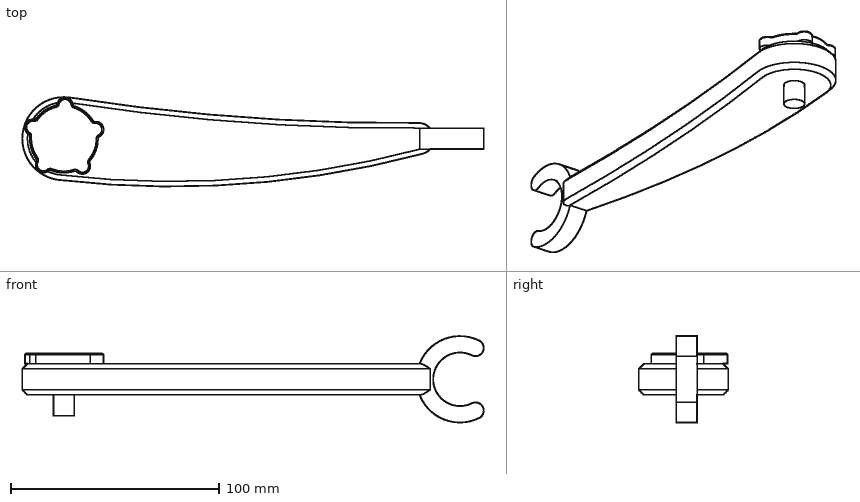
import cadquery as cq
import math


arm_thickness = 15.0
arm_chamfer = 2.5
round_end_radius = 20.0
tip_radius = 7.6
tip_centre_x = 170.0
front_low_point = (55.0, -23.02)
back_mid_point = (86.0, 10.3)
front_angle_at_round_end = -96.9
back_angle_at_round_end = 83.0
front_angle_at_tip = -77.0
back_angle_at_tip = 89.0

hook_x = 190.0
hook_outer_radius = 20.79
hook_inner_radius = 12.8
hook_width = 10.0
hook_reach = 11.45

pin_diameter = 10.0
pin_length = 10.0

knob_height = 5.0
knob_radius = 16.4
knob_chamfer = 0.8
lobe_count = 5
lobe_radius = 3.8
lobe_distance = 15.9
first_lobe_angle = 88.0
lobe_corner_radius = 1.0

arm_top = arm_thickness / 2


def polar(radius, angle, centre_x=0.0):
    """Point at a radius and an angle in degrees about a centre on the first axis."""
    turn = math.radians(angle)
    return (centre_x + radius * math.cos(turn), radius * math.sin(turn))


def make_arm():
    front_start = polar(round_end_radius, front_angle_at_round_end)
    back_start = polar(round_end_radius, back_angle_at_round_end)
    front_tip = polar(tip_radius, front_angle_at_tip, tip_centre_x)
    back_tip = polar(tip_radius, back_angle_at_tip, tip_centre_x)
    blade = (
        cq.Workplane("XY", origin=(0, 0, -arm_top))
        .moveTo(*front_start)
        .threePointArc(front_low_point, front_tip)
        .threePointArc((tip_centre_x + tip_radius, 0), back_tip)
        .threePointArc(back_mid_point, back_start)
        .threePointArc((-round_end_radius, 0), front_start)
        .close()
        .extrude(arm_thickness)
    )
    blade = blade.faces("<Z or >Z").edges().chamfer(arm_chamfer)
    opening = (
        cq.Workplane("XZ", origin=(hook_x, 0, 0))
        .circle(hook_inner_radius)
        .extrude(tip_radius, both=True)
    )
    return blade.cut(opening)


def make_hook():
    """C-shaped ring, open toward +X, with rounded ends."""
    end_radius = (hook_outer_radius - hook_inner_radius) / 2
    mid_radius = hook_inner_radius + end_radius
    end_angle = math.degrees(math.acos((hook_reach - end_radius) / mid_radius))
    end_x, end_z = polar(mid_radius, end_angle)
    outer_x, outer_z = polar(hook_outer_radius, end_angle)
    inner_x, inner_z = polar(hook_inner_radius, end_angle)
    cap_x, cap_z = polar(end_radius, end_angle - 90)
    return (
        cq.Workplane("XZ", origin=(hook_x, 0, 0))
        .moveTo(outer_x, outer_z)
        .threePointArc((-hook_outer_radius, 0), (outer_x, -outer_z))
        .threePointArc((end_x + cap_x, -end_z - cap_z), (inner_x, -inner_z))
        .threePointArc((-hook_inner_radius, 0), (inner_x, inner_z))
        .threePointArc((end_x + cap_x, end_z + cap_z), (outer_x, outer_z))
        .close()
        .extrude(hook_width / 2, both=True)
    )


def make_knob():
    crossing = (knob_radius**2 + lobe_distance**2 - lobe_radius**2) / (2 * knob_radius * lobe_distance)
    half_angle = math.degrees(math.acos(crossing))
    pitch = 360 / lobe_count
    outline = cq.Workplane("XY", origin=(0, 0, arm_top))
    outline = outline.moveTo(*polar(knob_radius, first_lobe_angle - half_angle))
    for index in range(lobe_count):
        angle = first_lobe_angle + index * pitch
        lobe_tip = polar(lobe_distance + lobe_radius, angle)
        between_lobes = polar(knob_radius, angle + pitch / 2)
        outline = outline.threePointArc(lobe_tip, polar(knob_radius, angle + half_angle))
        outline = outline.threePointArc(between_lobes, polar(knob_radius, angle + pitch - half_angle))
    knob = outline.close().extrude(knob_height)
    knob = knob.edges("|Z").fillet(lobe_corner_radius)
    return knob.faces(">Z").chamfer(knob_chamfer)


def make_pin():
    return (
        cq.Workplane("XY", origin=(0, 0, -arm_top - pin_length))
        .circle(pin_diameter / 2)
        .extrude(pin_length + arm_top)
    )


result = make_arm().union(make_hook()).union(make_knob()).union(make_pin())